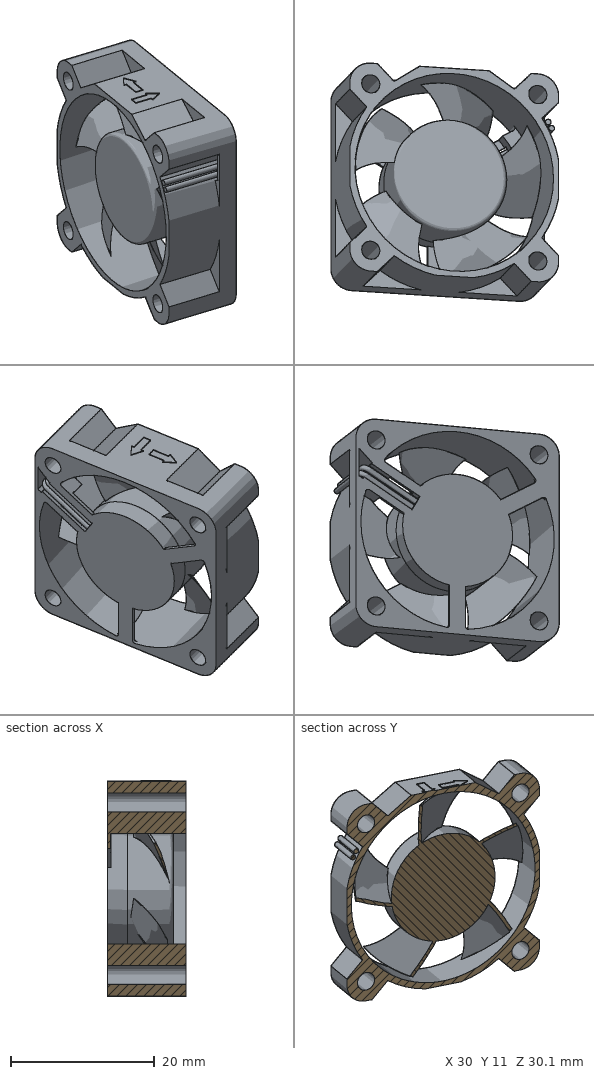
import cadquery as cq
import math


edge_tolerance = 1e-3

frame_side = 30.0
frame_depth = 11.0
corner_radius = 3.0
half_side = frame_side / 2
front_y = -frame_depth / 2
rear_y = frame_depth / 2
bore_radius = 28.5 / 2
ring_wall = 1.0
ring_radius = bore_radius + ring_wall
flange_thickness = 2.8
flange_y = rear_y - flange_thickness
screw_hole_diameter = 2.6
screw_pitch = 24.0

post_edge_offset = 3.95
top_pocket_inner_x = 5.0
straight_wall_x = 8.4

spoke_angles = (30, 150, 270)
spoke_width = 2.35
wire_spoke_angle = spoke_angles[0]
wire_spoke_width = 4.8
spoke_thickness = 0.5
spoke_y = rear_y - spoke_thickness
spoke_root_fillet = 0.4
bridge_inner_radius = 12.0

hub_radius = 16.2 / 2
hub_front_y = -3.7
hub_rear_y = flange_y
hub_edge_radius = 0.5
blade_count = 5
blade_tip_radius = 13.62
blade_thickness = 0.5
blade_sections = (
    (5.5, (0.2, -2.5), (2.65, -1.3), (5.5, 1.8)),
    (8.0, (-0.9, -2.85), (2.53, -1.5), (6.78, 2.0)),
    (11.0, (-2.4, -3.1), (2.0, -1.7), (7.5, 2.3)),
    (13.8, (-5.6, -3.4), (1.1, -1.95), (7.9, 2.6)),
)

wire_diameter = 0.8
wire_spacing = 1.0
wire_pair_offset = -0.2
wire_start_radius = 7.0
wire_turn_radius = 15.77
wire_bend_radius = 0.8
wire_y = 4.9
wire_slot_width = 2.3
wire_slot_offset = -0.12
wire_slot_clearance = 0.1
wire_slot_y = wire_y - wire_diameter / 2 - wire_slot_clearance

window_edge_wall = 0.5
window_lower_offset = -1.55

arrow_height = 0.1
arrow_head_length = 1.7
arrow_head_width = 2.0
arrow_shaft_width = 1.15
arrow_length = 4.2
arrow_placements = (
    (-4.15, -1.25, 180),
    (2.1, 0.8, 90),
)


def prism_along_y(y_from, y_to, draw):
    """Solid between two Y levels; draw adds the outline, in X and Z, to the workplane."""
    return draw(cq.Workplane("XZ", origin=(0, y_to, 0))).extrude(y_to - y_from)


def turned(body, angle):
    """Turn about the fan axis, from +X towards +Z."""
    return body.rotate((0, 0, 0), (0, 1, 0), -angle)


def radial_bar(r_from, r_to, offset, width, y_from, y_to, angle):
    """Straight bar pointing away from the fan axis."""
    middle = (r_from + r_to) / 2
    bar = prism_along_y(y_from, y_to, lambda w: w.center(middle, offset).rect(r_to - r_from, width))
    return turned(bar, angle)


post_x = (math.sqrt(2 * ring_radius**2 - post_edge_offset**2) - post_edge_offset) / 2
post_z = post_x + post_edge_offset
ring_side_x = math.sqrt(ring_radius**2 - half_side**2)


def ring_height(x):
    """Height of the ring's outside above the axis at x."""
    return math.sqrt(ring_radius**2 - x**2)


def arc_pocket(y_from, y_to):
    """Pocket on the top side, right of centre, following the round ring."""
    arc_middle_x = (post_x + ring_side_x) / 2
    return prism_along_y(
        y_from,
        y_to,
        lambda w: w.moveTo(half_side - post_edge_offset, half_side)
        .lineTo(post_x, post_z)
        .threePointArc((arc_middle_x, ring_height(arc_middle_x)), (ring_side_x, half_side))
        .close(),
    )


def straight_pocket(y_from, y_to):
    """Pocket on the top side that leaves the ring for a straight wall, giving room for the arrows."""
    arc_middle_x = (post_x + straight_wall_x) / 2
    return prism_along_y(
        y_from,
        y_to,
        lambda w: w.moveTo(half_side - post_edge_offset, half_side)
        .lineTo(post_x, post_z)
        .threePointArc(
            (arc_middle_x, ring_height(arc_middle_x)), (straight_wall_x, ring_height(straight_wall_x))
        )
        .lineTo(top_pocket_inner_x, half_side)
        .close(),
    )


def make_frame():
    frame = cq.Workplane("XY").box(frame_side, frame_depth, frame_side).edges("|Y").fillet(corner_radius)
    frame = frame.cut(prism_along_y(front_y, rear_y, lambda w: w.circle(bore_radius)))
    holes = prism_along_y(
        front_y,
        rear_y,
        lambda w: w.rect(screw_pitch, screw_pitch, forConstruction=True)
        .vertices()
        .circle(screw_hole_diameter / 2),
    )
    frame = frame.cut(holes)

    top_pocket = straight_pocket(front_y, flange_y)
    frame = frame.cut(top_pocket).cut(top_pocket.mirror("YZ"))
    side_pocket = arc_pocket(front_y, flange_y)
    for angle in (90, 180, 270):
        frame = frame.cut(turned(side_pocket, angle)).cut(turned(side_pocket.mirror("YZ"), angle))
    return frame


def is_spoke_root(edge):
    """True for a straight edge on the bore, other than the seam of the round face at z = 0."""
    middle = edge.Center()
    on_bore = abs(math.hypot(middle.x, middle.z) - bore_radius) < edge_tolerance
    return on_bore and abs(middle.z) > edge_tolerance


def make_stator_plate():
    """Rear disc and spokes on a rim inside the ring; a bridge covers the wires at the end of their spoke."""
    rim_radius = bore_radius + ring_wall / 2
    plate = prism_along_y(flange_y, rear_y, lambda w: w.circle(rim_radius).circle(bore_radius))
    spoke_end = (bore_radius + rim_radius) / 2
    for angle in spoke_angles:
        width = wire_spoke_width if angle == wire_spoke_angle else spoke_width
        plate = plate.union(radial_bar(0, spoke_end, 0, width, spoke_y, rear_y, angle))

    bridge = radial_bar(0, spoke_end, 0, wire_spoke_width, flange_y, rear_y, wire_spoke_angle)
    bridge = bridge.cut(prism_along_y(flange_y, spoke_y, lambda w: w.circle(bridge_inner_radius)))
    plate = plate.union(bridge)
    plate = plate.edges("|Y").filter(is_spoke_root).fillet(spoke_root_fillet)
    return plate.union(prism_along_y(hub_rear_y, rear_y, lambda w: w.circle(hub_radius)))


def cut_wire_passage(body):
    """Slot along the wire spoke and through the ring, opening into a window in the flange."""
    slot = radial_bar(
        wire_start_radius, wire_turn_radius - wire_diameter / 2, wire_slot_offset, wire_slot_width,
        wire_slot_y, rear_y, wire_spoke_angle,
    )
    window = turned(arc_pocket(flange_y, rear_y).mirror("YZ"), -90)
    above_lower_edge = radial_bar(
        0, frame_side, window_lower_offset + half_side / 2, half_side, flange_y, rear_y, wire_spoke_angle
    )
    inside_wall = cq.Workplane("XY").box(2 * (half_side - window_edge_wall), frame_depth, frame_side)
    return body.cut(slot).cut(window.intersect(above_lower_edge).intersect(inside_wall))


def arrow(tip_x, tip_y, direction):
    """Raised arrow on the top side; direction is its heading in degrees from +X."""
    neck = -arrow_head_length
    shape = (
        cq.Workplane("XY")
        .polyline([
            (0, 0),
            (neck, arrow_head_width / 2),
            (neck, arrow_shaft_width / 2),
            (-arrow_length, arrow_shaft_width / 2),
            (-arrow_length, -arrow_shaft_width / 2),
            (neck, -arrow_shaft_width / 2),
            (neck, -arrow_head_width / 2),
        ])
        .close()
        .extrude(arrow_height)
    )
    return shape.rotate((0, 0, 0), (0, 0, 1), direction).translate((tip_x, tip_y, half_side))


def make_housing():
    housing = cut_wire_passage(make_frame().union(make_stator_plate()))
    for placement in arrow_placements:
        housing = housing.union(arrow(*placement))
    return housing


def blade_outline(height, lead, middle, trail):
    """Closed section: front face in two runs that meet smoothly at the middle, and one back face."""
    back = (middle[0], middle[1] + blade_thickness)
    slope = (trail[0] - lead[0], trail[1] - lead[1])
    return (
        cq.Workplane("XY", origin=(0, 0, height))
        .moveTo(*lead)
        .spline([middle], includeCurrent=True, tangents=[None, slope])
        .spline([trail], includeCurrent=True, tangents=[slope, None])
        .spline([back, lead], includeCurrent=True)
        .close()
        .val()
    )


def make_rotor():
    hub = prism_along_y(hub_front_y, hub_rear_y, lambda w: w.circle(hub_radius))
    hub = hub.faces("<Y").edges().fillet(hub_edge_radius)
    blade = cq.Workplane(cq.Solid.makeLoft([blade_outline(*s) for s in blade_sections]))
    blade = blade.intersect(prism_along_y(front_y, rear_y, lambda w: w.circle(blade_tip_radius)))
    rotor = hub
    for i in range(blade_count):
        rotor = rotor.union(turned(blade, i * 360 / blade_count))
    return rotor


def make_wire(offset):
    """Wire that runs out along the wire spoke, then bends forward to the front plane."""
    bend_start = wire_turn_radius - wire_bend_radius
    bend_end_y = wire_y - wire_bend_radius
    bend_reach = wire_bend_radius * math.sqrt(0.5)
    path = (
        cq.Workplane("XY", origin=(0, 0, offset))
        .moveTo(wire_start_radius, wire_y)
        .lineTo(bend_start, wire_y)
        .threePointArc(
            (bend_start + bend_reach, bend_end_y + bend_reach), (wire_turn_radius, bend_end_y)
        )
        .lineTo(wire_turn_radius, front_y)
    )
    wire = (
        cq.Workplane("YZ", origin=(wire_start_radius, wire_y, offset))
        .circle(wire_diameter / 2)
        .sweep(path)
    )
    return turned(wire, wire_spoke_angle)


housing = make_housing()
rotor = make_rotor()
wires = [make_wire(wire_pair_offset + side * wire_spacing / 2) for side in (-1, 1)]

result = cq.Compound.makeCompound([housing.val(), rotor.val(), *[w.val() for w in wires]])